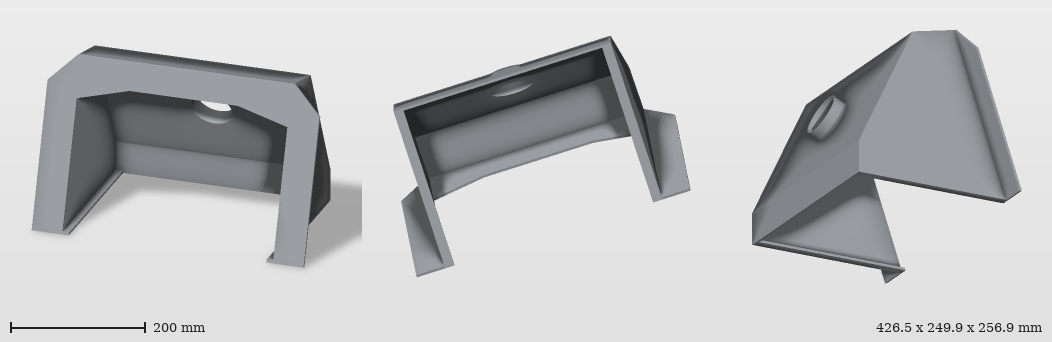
import cadquery as cq
import math

sheet = 4.0
overall_width = 426.5
hood_width = 338.5
depth = 249.89
front_lean = math.radians(18.755)
front_length = 270.0
back_height = 50.5
roof_rear_depth = 90.0
roof_rear_height = 239.5
bar_width = 44.5
gusset_length = 80.5
gusset_drop = 21.4
strip_width = 10.5
collar_outer_diameter = 66.5
collar_wall = 1.5
collar_length = 21.3
collar_foot_fillet = 3.3

half_hood = hood_width / 2
inner_width = hood_width - 2 * sheet
half_inner = inner_width / 2
leg_width = (overall_width - hood_width) / 2
opening_height = front_length - bar_width
lean_sin = math.sin(front_lean)
lean_cos = math.cos(front_lean)
slope_rise = roof_rear_height - back_height
collar_radius = collar_outer_diameter / 2
clearance = 20.0


def front_y(z):
    """Y of the leaning front plane at height z."""
    return -depth + z * math.tan(front_lean)


front_plane = cq.Plane(
    origin=(0, front_y(0), 0),
    xDir=(1, 0, 0),
    normal=(0, -lean_cos, lean_sin),
)

collar_plane = cq.Plane(
    origin=(0, -roof_rear_depth / 2, back_height + slope_rise / 2),
    xDir=(1, 0, 0),
    normal=(0, slope_rise, roof_rear_depth),
)


def front_plate(points):
    """A sheet-thick plate whose face lies in the front plane."""
    return cq.Workplane(front_plane).polyline(points).close().extrude(-sheet)


def side_profile(bottom):
    """Side outline of the hood, closed at height `bottom`."""
    front_top_z = front_length * lean_cos
    front_top = (front_y(front_top_z), front_top_z)
    roof_front = (front_top[0] + sheet * lean_cos, front_top[1] - sheet * lean_sin)
    return cq.Workplane("YZ").polyline([
        (0, bottom),
        (0, back_height),
        (-roof_rear_depth, roof_rear_height),
        roof_front,
        front_top,
        (front_y(bottom), bottom),
    ]).close()


def make_shell():
    """Folded sheet: side walls, back, slope, roof and front bar, open at the bottom and front."""
    shell = side_profile(0).extrude(half_hood, both=True)
    cavity = side_profile(-clearance).offset2D(-sheet).extrude(half_inner, both=True)
    opening = (
        cq.Workplane(front_plane)
        .center(0, (opening_height - clearance) / 2)
        .rect(inner_width, opening_height + clearance)
        .extrude(-2 * sheet)
    )
    return shell.cut(cavity).cut(opening)


def add_collar(shell):
    """Outlet collar with a filleted foot, standing square on the sloping wall and bored through it."""
    foot_radius = collar_radius + collar_foot_fillet
    half_profile = (
        cq.Workplane(cq.Plane(collar_plane.origin, collar_plane.xDir, -collar_plane.yDir))
        .moveTo(0, -sheet / 2)
        .lineTo(foot_radius, -sheet / 2)
        .lineTo(foot_radius, 0)
        .radiusArc((collar_radius, collar_foot_fillet), collar_foot_fillet)
        .lineTo(collar_radius, collar_length)
        .lineTo(0, collar_length)
        .close()
    )
    collar = half_profile.revolve(360, (0, 0, 0), (0, 1, 0))
    bore = (
        cq.Workplane(collar_plane)
        .workplane(offset=-2 * sheet)
        .circle(collar_radius - collar_wall)
        .extrude(collar_length + 3 * sheet)
    )
    return shell.union(collar).cut(bore)


def make_leg(side):
    """Flat flange beside the opening, its upper outer corner cut off; side is +1 or -1."""
    outer = overall_width / 2
    return front_plate([
        (side * half_hood, 0),
        (side * outer, 0),
        (side * outer, front_length - leg_width),
        (side * half_hood, front_length),
    ])


def make_gusset(side):
    """Triangular corner plate under the front bar."""
    return front_plate([
        (side * half_inner, opening_height),
        (side * (half_inner - gusset_length), opening_height),
        (side * half_inner, opening_height - gusset_drop),
    ])


def make_strip(side):
    """Flat strip along the inside foot of a side wall, from the back wall to the front plane."""
    return (
        cq.Workplane("YZ", origin=(side * half_inner, 0, 0))
        .polyline([(-sheet, 0), (-sheet, sheet), (front_y(sheet), sheet), (front_y(0), 0)])
        .close()
        .extrude(-side * strip_width)
    )


hood = add_collar(make_shell())
bodies = [hood.val()]
for side in (-1, 1):
    bodies += [make_leg(side).val(), make_gusset(side).val(), make_strip(side).val()]
result = cq.Compound.makeCompound(bodies)